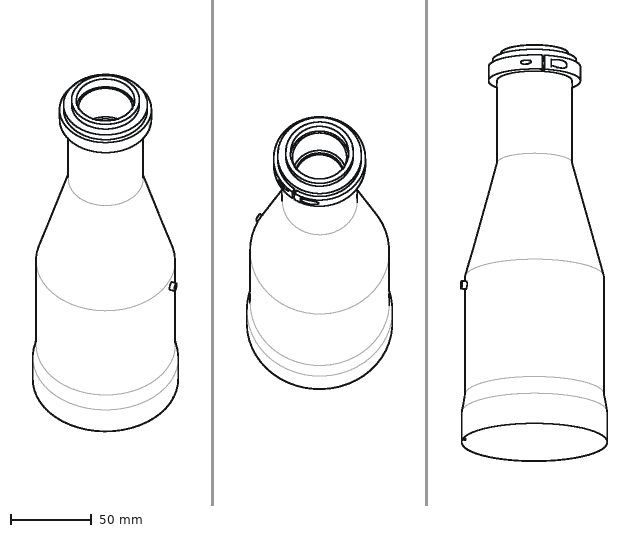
import cadquery as cq

total_height = 249.5
total_width = 91.0
point_height = 0.7
point_diameter = 1.0
point_offset = 44.0

base_diameter = 90.0
body_diameter = 86.0
neck_diameter = 46.5
clamp_diameter = 57.0
seat_diameter = 52.0
lip_diameter = 42.0

lip_length = 4.2
seat_length = 4.2
clamp_length = 9.0
neck_length = 52.5
cone_length = 73.0
body_length = 75.0
flare_length = 11.2

mouth_diameter, mouth_depth = 36.0, 7.0
bore_diameter, bore_depth = 33.5, 32.5
floor_diameter, floor_depth = 30.0, 35.0

pin_diameter = 5.0
pin_drop = 7.5
pin_reach = total_width - base_diameter / 2

slit_width = 1.5
screw_offset = 26.2
screw_hole_diameter = 2.5
screw_head_diameter = 5.0
screw_head_seat = 5.0

seat_top = total_height - lip_length
clamp_top = seat_top - seat_length
neck_top = clamp_top - clamp_length
cone_top = neck_top - neck_length
body_top = cone_top - cone_length
flare_top = body_top - body_length
base_top = flare_top - flare_length


def cylinder(diameter, bottom, top):
    """Upright cylinder on the main axis."""
    return cq.Workplane("XY").workplane(offset=bottom).circle(diameter / 2).extrude(top - bottom)


def rod_along_x(diameter, start, end, y, z):
    """Round rod parallel to X between two X positions."""
    return (
        cq.Workplane("YZ", origin=(start, 0, 0))
        .center(y, z)
        .circle(diameter / 2)
        .extrude(end - start)
    )


def make_housing():
    """Bottle-shaped body from the base to the bottom of the clamp ring."""
    return (
        cq.Workplane("XZ")
        .moveTo(0, point_height)
        .lineTo(base_diameter / 2, point_height)
        .lineTo(base_diameter / 2, base_top)
        .lineTo(body_diameter / 2, flare_top)
        .lineTo(body_diameter / 2, body_top)
        .lineTo(neck_diameter / 2, cone_top)
        .lineTo(neck_diameter / 2, neck_top)
        .lineTo(0, neck_top)
        .close()
        .revolve(360, (0, 0, 0), (0, 1, 0))
    )


def make_clamp_ring():
    """Clamp ring with its slit and a counterbored screw hole across the slit."""
    ring = cylinder(clamp_diameter, neck_top, clamp_top)
    radius = clamp_diameter / 2
    slit = (
        cq.Workplane("XY")
        .box(slit_width, radius, clamp_length, centered=(True, False, False))
        .translate((0, 0, neck_top))
        .cut(cylinder(seat_diameter, neck_top, clamp_top))
    )
    screw_z = (neck_top + clamp_top) / 2
    hole = rod_along_x(screw_hole_diameter, -radius, radius, screw_offset, screw_z)
    head = rod_along_x(screw_head_diameter, -radius, -screw_head_seat, screw_offset, screw_z)
    return ring.cut(slit).cut(hole).cut(head)


def make_mount():
    """Seat and thin lip at the tip."""
    seat = cylinder(seat_diameter, clamp_top, seat_top)
    return seat.union(cylinder(lip_diameter, seat_top, total_height))


def make_bore():
    """Stepped blind bore cut down from the tip."""
    steps = [
        (mouth_diameter, mouth_depth),
        (bore_diameter, bore_depth),
        (floor_diameter, floor_depth),
    ]
    bore = cq.Workplane("XY")
    for diameter, depth in steps:
        bore = bore.union(cylinder(diameter, total_height - depth, total_height))
    return bore


pin = rod_along_x(pin_diameter, 0, pin_reach, 0, body_top - pin_drop)
point = cylinder(point_diameter, 0, base_top).translate((point_offset, 0, 0))

result = (
    make_housing()
    .union(make_clamp_ring())
    .union(make_mount())
    .union(pin)
    .union(point)
    .cut(make_bore())
)